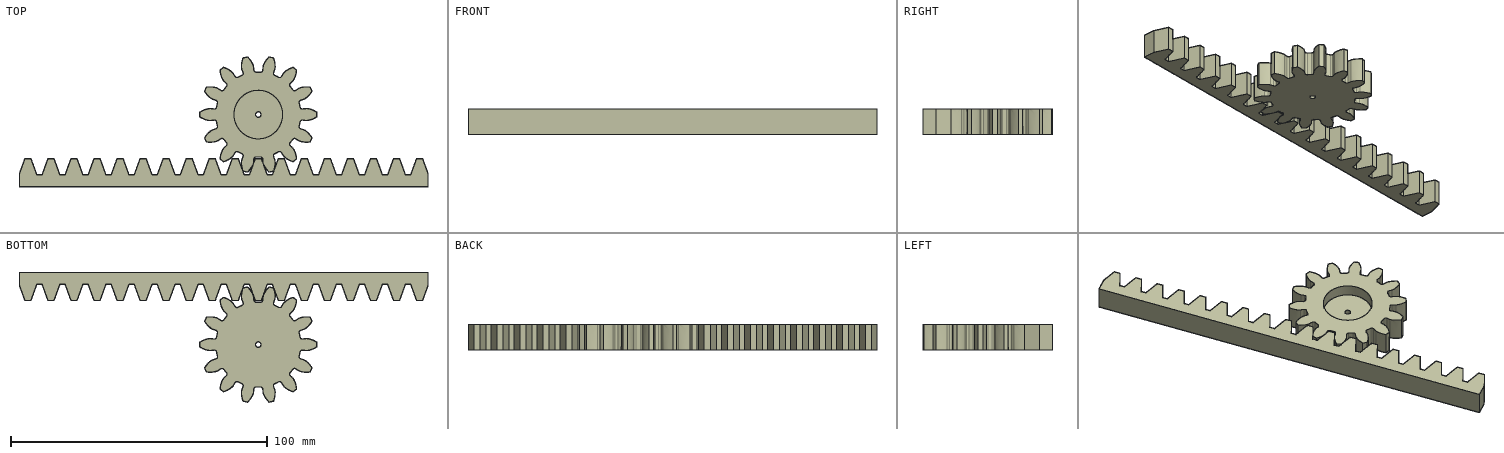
import cadquery as cq
import math

rack_length = 159.4
thickness = 10.0
pressure_angle = math.radians(20)
pinion_teeth = 14
outer_diameter = 45.7
module = outer_diameter / (pinion_teeth + 2)
pitch = math.pi * module
addendum = module
dedendum = 1.2 * module

rack_teeth = 18
rack_height = 11.0
rack_back_y = addendum - rack_height

pitch_radius = pinion_teeth * module / 2
base_radius = pitch_radius * math.cos(pressure_angle)
tip_radius = pitch_radius + addendum
root_radius = pitch_radius - dedendum
pinion_x = 1.5 * pitch
pinion_y = pitch_radius
recess_diameter = 19.0
recess_depth = 5.0
bore_diameter = 2.0
root_fillet = 0.8
flank_points = 6


def rack_tooth(center_x):
    """Straight-sided tooth, standing on a block down to the back of the rack."""
    slope = math.tan(pressure_angle)
    half_tip = pitch / 4 - addendum * slope
    half_root = pitch / 4 + dedendum * slope
    return (
        cq.Workplane("XY")
        .moveTo(center_x - half_root, -dedendum)
        .lineTo(center_x - half_tip, addendum)
        .lineTo(center_x + half_tip, addendum)
        .lineTo(center_x + half_root, -dedendum)
        .lineTo(center_x + half_root, rack_back_y)
        .lineTo(center_x - half_root, rack_back_y)
        .close()
        .extrude(thickness)
    )


def make_rack():
    """Bar with a row of teeth, cut square at both ends."""
    bar_depth = -dedendum - rack_back_y
    bar = (
        cq.Workplane("XY")
        .center(0, rack_back_y + bar_depth / 2)
        .rect(rack_length, bar_depth)
        .extrude(thickness)
    )
    for index in range(rack_teeth):
        bar = bar.union(rack_tooth((index - (rack_teeth - 1) / 2) * pitch))
    envelope = (
        cq.Workplane("XY")
        .center(0, rack_back_y + rack_height / 2)
        .rect(rack_length, rack_height)
        .extrude(thickness)
    )
    return bar.intersect(envelope)


def involute(angle):
    """Involute function of a pressure angle."""
    return math.tan(angle) - angle


def flank_point(radius):
    """Point on the upper flank of a tooth that points along +X."""
    half_angle_at_base = math.pi / (2 * pinion_teeth) + involute(pressure_angle)
    angle = half_angle_at_base - involute(math.acos(base_radius / radius))
    return radius * math.cos(angle), radius * math.sin(angle)


def pinion_tooth():
    """Involute tooth along +X, with radial sides below the base circle."""
    step = (tip_radius - base_radius) / (flank_points - 1)
    upper = [flank_point(base_radius + index * step) for index in range(flank_points)]
    lower = [(x, -y) for x, y in reversed(upper)]
    inner_scale = (root_radius - module) / base_radius
    inner_upper = tuple(inner_scale * value for value in upper[0])
    inner_lower = tuple(inner_scale * value for value in lower[-1])
    return (
        cq.Workplane("XY")
        .moveTo(*inner_upper)
        .lineTo(*upper[0])
        .spline(upper[1:], includeCurrent=True)
        .threePointArc((tip_radius, 0), lower[0])
        .spline(lower[1:], includeCurrent=True)
        .lineTo(*inner_lower)
        .close()
        .extrude(thickness)
    )


def make_pinion():
    """Spur pinion with filleted roots, a round top recess and a central bore."""
    body = cq.Workplane("XY").circle(root_radius).extrude(thickness)
    tooth = pinion_tooth()
    for index in range(pinion_teeth):
        body = body.union(tooth.rotate((0, 0, 0), (0, 0, 1), index * 360 / pinion_teeth))
    root_limit = (root_radius + base_radius) / 2
    root_corners = body.edges("|Z").filter(
        lambda edge: math.hypot(edge.Center().x, edge.Center().y) < root_limit
    )
    body = root_corners.fillet(root_fillet)
    body = body.faces(">Z").workplane().hole(recess_diameter, recess_depth)
    body = body.faces(">Z").workplane().hole(bore_diameter)
    return body.translate((pinion_x, pinion_y, 0))


rack = make_rack()
pinion = make_pinion()
result = cq.Compound.makeCompound([rack.solids().val(), pinion.solids().val()])